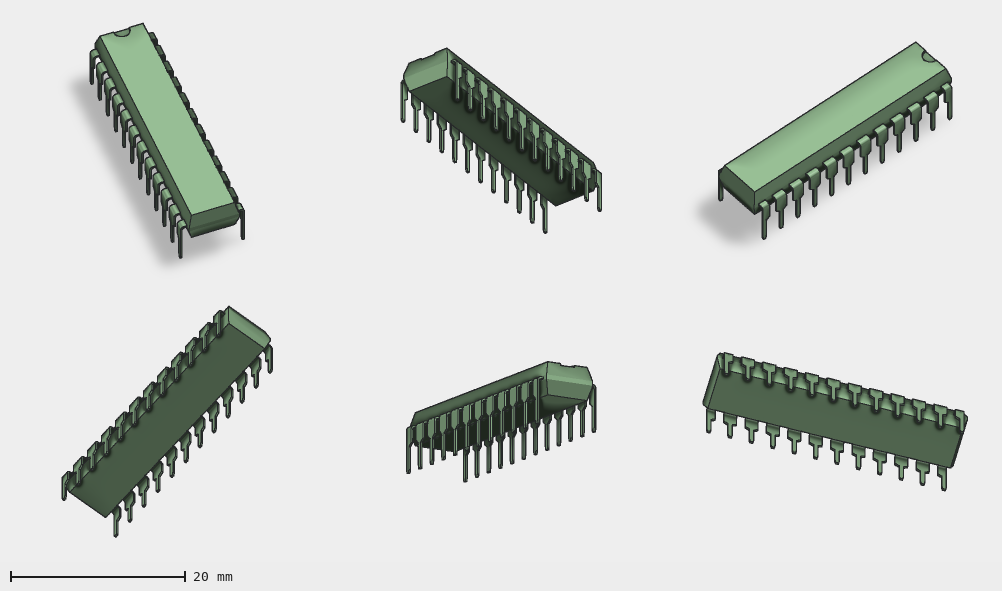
import cadquery as cq
import math

body_length = 29.7
body_width = 6.2
band_height = 0.53
slope_height = 1.7
draft_angle = 15.0
slope_inset = slope_height * math.tan(math.radians(draft_angle))
body_top = band_height / 2 + slope_height

notch_radius = 0.98
notch_depth = 0.25
notch_edge_offset = 0.05
notch_center_x = -body_length / 2 + slope_inset + notch_edge_offset

leads_per_row = 12
row_length = 27.92
lead_pitch = row_length / (leads_per_row - 1)
row_span = 7.87
overall_height = 7.37
lead_thickness = 0.223
outer_bend_radius = 0.48
inner_bend_radius = 0.35
lead_embed = 0.3
shoulder_width = 1.5
pin_width = 0.5
tip_width = 0.33
tip_height = 0.45
shoulder_taper_height = 0.4

lead_top = 0.12
lead_underside = lead_top - lead_thickness
shoulder_bottom = -body_top
pin_top = shoulder_bottom - shoulder_taper_height
tip_bottom = body_top - overall_height
tip_top = tip_bottom + tip_height


def make_body_half(direction):
    """Tapered half of the body, running up (+1) or down (-1) from the band."""
    return (
        cq.Workplane("XY")
        .workplane(offset=direction * band_height / 2)
        .rect(body_length, body_width)
        .workplane(offset=direction * slope_height)
        .rect(body_length - 2 * slope_inset, body_width - 2 * slope_inset)
        .loft(ruled=True)
    )


def make_body():
    band = cq.Workplane("XY").box(body_length, body_width, band_height)
    notch = (
        cq.Workplane("XY")
        .workplane(offset=body_top)
        .center(notch_center_x, 0)
        .circle(notch_radius)
        .extrude(-notch_depth, taper=draft_angle)
    )
    return band.union(make_body_half(1)).union(make_body_half(-1)).cut(notch)


def make_bent_strip():
    """Full-width strip leaving the body toward -Y and bending straight down."""
    root_y = -body_width / 2 + lead_embed
    outer_y = -row_span / 2
    inner_y = outer_y + lead_thickness
    outer_bend_y = outer_y + outer_bend_radius
    inner_bend_y = inner_y + inner_bend_radius
    arc_inset = 1 - math.sqrt(0.5)
    outer_mid = (outer_y + outer_bend_radius * arc_inset, lead_top - outer_bend_radius * arc_inset)
    inner_mid = (inner_y + inner_bend_radius * arc_inset, lead_underside - inner_bend_radius * arc_inset)
    return (
        cq.Workplane("YZ")
        .moveTo(root_y, lead_top)
        .lineTo(outer_bend_y, lead_top)
        .threePointArc(outer_mid, (outer_y, lead_top - outer_bend_radius))
        .lineTo(outer_y, tip_bottom)
        .lineTo(inner_y, tip_bottom)
        .lineTo(inner_y, lead_underside - inner_bend_radius)
        .threePointArc(inner_mid, (inner_bend_y, lead_underside))
        .lineTo(root_y, lead_underside)
        .close()
        .extrude(shoulder_width / 2, both=True)
    )


def make_lead(left_shoulder, right_shoulder):
    """Lead of the -Y row centred on X = 0, with the given shoulder reach on each side."""
    outline = (
        cq.Workplane("XZ")
        .moveTo(-left_shoulder, lead_top)
        .lineTo(-left_shoulder, shoulder_bottom)
        .lineTo(-pin_width / 2, pin_top)
        .lineTo(-pin_width / 2, tip_top)
        .lineTo(-tip_width / 2, tip_bottom)
        .lineTo(tip_width / 2, tip_bottom)
        .lineTo(pin_width / 2, tip_top)
        .lineTo(pin_width / 2, pin_top)
        .lineTo(right_shoulder, shoulder_bottom)
        .lineTo(right_shoulder, lead_top)
        .close()
        .extrude(row_span)
    )
    return make_bent_strip().intersect(outline)


def make_lead_row():
    """Row of leads on the -Y side; the end leads have no shoulder on their outer side."""
    full_reach = shoulder_width / 2
    plain_reach = pin_width / 2
    first_x = -row_length / 2
    row = []
    for index in range(leads_per_row):
        left_reach = plain_reach if index == 0 else full_reach
        right_reach = plain_reach if index == leads_per_row - 1 else full_reach
        lead = make_lead(left_reach, right_reach)
        row.append(lead.translate((first_x + index * lead_pitch, 0, 0)))
    return row


result = make_body()
for lead in make_lead_row():
    result = result.union(lead).union(lead.mirror("XZ"))